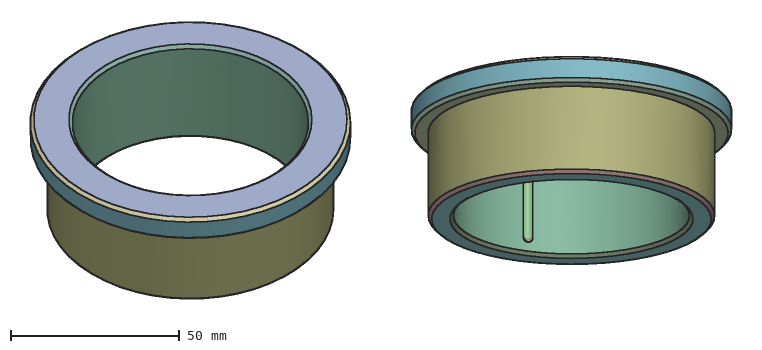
import cadquery as cq

flange_diameter = 95.0
sleeve_diameter = 85.0
bore_diameter = 70.0
height = 35.0
flange_thickness = 8.0
edge_chamfer = 1.0

groove_width = 3.0
groove_end_margin = 4.0
groove_bottom = groove_end_margin
groove_top = height - groove_end_margin


def make_body():
    """Revolved sleeve and flange with chamfered rims."""
    flange_radius = flange_diameter / 2
    sleeve_radius = sleeve_diameter / 2
    bore_radius = bore_diameter / 2
    flange_bottom = height - flange_thickness
    section = (
        cq.Workplane("XZ")
        .moveTo(bore_radius + edge_chamfer, 0)
        .lineTo(sleeve_radius - edge_chamfer, 0)
        .lineTo(sleeve_radius, edge_chamfer)
        .lineTo(sleeve_radius, flange_bottom)
        .lineTo(flange_radius - edge_chamfer, flange_bottom)
        .lineTo(flange_radius, flange_bottom + edge_chamfer)
        .lineTo(flange_radius, height - edge_chamfer)
        .lineTo(flange_radius - edge_chamfer, height)
        .lineTo(bore_radius + edge_chamfer, height)
        .lineTo(bore_radius, height - edge_chamfer)
        .lineTo(bore_radius, edge_chamfer)
        .close()
    )
    return section.revolve(360, (0, 0), (0, 1))


def make_groove_cutter():
    """Vertical capsule, a cylinder with spherical ends, centred on the bore wall."""
    radius = groove_width / 2
    capsule = (
        cq.Workplane("XZ")
        .moveTo(0, groove_bottom)
        .radiusArc((radius, groove_bottom + radius), -radius)
        .lineTo(radius, groove_top - radius)
        .radiusArc((0, groove_top), -radius)
        .close()
        .revolve(360, (0, 0), (0, 1))
    )
    return capsule.translate((bore_diameter / 2, 0, 0))


result = make_body().cut(make_groove_cutter())